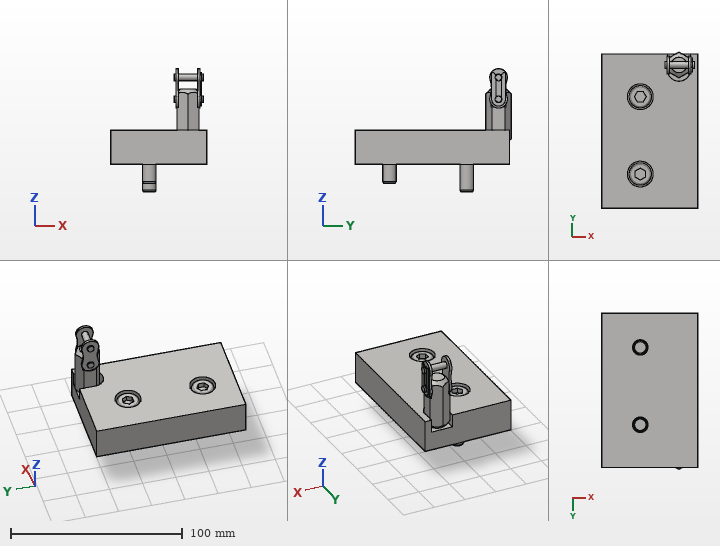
import cadquery as cq
import math

BLOCK_X = 56.0
BLOCK_Y = 90.0
BLOCK_Z = 20.0

SCREW_X = 22.5
SCREWS = [(20.0, 22.0, 90.0), (65.0, 27.0, 0.0)]
SHANK_D = 8.0
SHANK_TIP_D = 6.65
SHANK_TIP_LENGTH = 1.0
HEAD_D = 13.0
HEAD_H = 8.0
HEAD_EDGE_R = 0.8
SOCKET_FLATS = 6.0
SOCKET_DEPTH = 3.0
COUNTERBORE_D = 15.0
COUNTERBORE_DEPTH = 9.0
CLEARANCE_D = 9.0
SEAT_Z = BLOCK_Z - COUNTERBORE_DEPTH

POST_X = 45.0
POST_Y = 83.5
POST_FLATS = 13.0
POST_CORNERS = POST_FLATS / math.cos(math.pi / 6)
POST_LENGTH = 32.0
POST_END_D = 9.0
POST_END_CHAMFER = (POST_CORNERS - POST_END_D) / 2
SLOT_W = 13.5
SLOT_DEPTH = 8.0
SLOT_FRONT_Y = 74.0
SLOT_END_Y = SLOT_FRONT_Y + SLOT_W / 2
SLOT_FLOOR_Z = BLOCK_Z - SLOT_DEPTH

PITCH = 12.7
PLATE_R = 5.15
WAIST_HALF = 4.2
PLATE_T = 1.5
PLATE_INNER = 5.6
PLATE_OUTER = PLATE_INNER + PLATE_T
LINK_TOP_Z = 55.81
UPPER_PIN_Z = LINK_TOP_Z - PLATE_R
LOWER_PIN_Z = UPPER_PIN_Z - PITCH
PIN_D = 4.0
NECK_D = 3.2
PIN_LEFT = 8.1
PIN_RIGHT = 9.0
FLAT_BOTTOM_Z = 33.3

CLIP_T = 0.7
CLIP_R = 4.0
CLIP_TOP = 2.95
CLIP_TIP_R = 0.65


def yz_plane(x):
    """Sketch plane facing +X at x, centred on the lower pin: local x is Y, local y is Z."""
    return cq.Workplane("YZ", origin=(x, POST_Y, LOWER_PIN_Z))


def pin_bars(x, length, diameter=PIN_D):
    """Round bars on both pin axes, running from x toward +X."""
    return yz_plane(x).pushPoints([(0, 0), (0, PITCH)]).circle(diameter / 2).extrude(length)


def make_block():
    block = cq.Workplane("XY").box(BLOCK_X, BLOCK_Y, BLOCK_Z, centered=False)
    block = (
        block.faces(">Z").workplane(origin=(0, 0, BLOCK_Z))
        .pushPoints([(SCREW_X, y) for y, _, _ in SCREWS])
        .cboreHole(CLEARANCE_D, COUNTERBORE_D, COUNTERBORE_DEPTH)
    )
    slot = (
        cq.Workplane("XY", origin=(POST_X, 0, SLOT_FLOOR_Z))
        .moveTo(-SLOT_W / 2, BLOCK_Y)
        .lineTo(-SLOT_W / 2, SLOT_END_Y)
        .threePointArc((0, SLOT_FRONT_Y), (SLOT_W / 2, SLOT_END_Y))
        .lineTo(SLOT_W / 2, BLOCK_Y)
        .close().extrude(SLOT_DEPTH)
    )
    return block.cut(slot)


def make_screw(y, length, turn):
    """Turned profile from the tip up, with a hexagon socket in the head."""
    edge_shift = HEAD_EDGE_R * (1 - math.cos(math.pi / 4))
    screw = (
        cq.Workplane("XZ")
        .moveTo(0, -length)
        .lineTo(SHANK_TIP_D / 2, -length)
        .lineTo(SHANK_D / 2, -length + SHANK_TIP_LENGTH)
        .lineTo(SHANK_D / 2, 0)
        .lineTo(HEAD_D / 2, 0)
        .lineTo(HEAD_D / 2, HEAD_H - HEAD_EDGE_R)
        .threePointArc(
            (HEAD_D / 2 - edge_shift, HEAD_H - edge_shift), (HEAD_D / 2 - HEAD_EDGE_R, HEAD_H)
        )
        .lineTo(0, HEAD_H)
        .close().revolve(360, (0, 0), (0, 1))
    )
    socket_corners = SOCKET_FLATS / math.cos(math.pi / 6)
    socket = cq.Workplane("XY", origin=(0, 0, HEAD_H)).polygon(6, socket_corners).extrude(-SOCKET_DEPTH)
    return screw.cut(socket).rotate((0, 0, 0), (0, 0, 1), turn).translate((SCREW_X, y, SEAT_Z))


def plate_outline(x):
    """Link plate profile: round ends joined by concave arcs that are tangent to them."""
    waist_r = (WAIST_HALF**2 + (PITCH / 2) ** 2 - PLATE_R**2) / (2 * (PLATE_R - WAIST_HALF))
    share = PLATE_R / (PLATE_R + waist_r)
    tangent_y = (WAIST_HALF + waist_r) * share
    tangent_z = PITCH / 2 * share
    return (
        yz_plane(x)
        .moveTo(tangent_y, tangent_z)
        .threePointArc((WAIST_HALF, PITCH / 2), (tangent_y, PITCH - tangent_z))
        .threePointArc((0, PITCH + PLATE_R), (-tangent_y, PITCH - tangent_z))
        .threePointArc((-WAIST_HALF, PITCH / 2), (-tangent_y, tangent_z))
        .threePointArc((0, -PLATE_R), (tangent_y, tangent_z))
        .close()
    )


def make_pin_plate():
    """Left link plate with both pins fixed in it; each pin is necked where the clip sits."""
    plate = plate_outline(POST_X - PLATE_OUTER).extrude(PLATE_T)
    clip_x = POST_X + PLATE_OUTER
    bars = pin_bars(POST_X - PIN_LEFT, PIN_LEFT + PIN_RIGHT)
    grooves = pin_bars(clip_x, CLIP_T).cut(pin_bars(clip_x, CLIP_T, NECK_D))
    return plate.union(bars.cut(grooves))


def make_outer_plate():
    """Right link plate, pushed over the pins."""
    x = POST_X + PLATE_INNER
    return plate_outline(x).extrude(PLATE_T).cut(pin_bars(x, PLATE_T))


def make_clip():
    """U-shaped spring clip: two legs with rounded tips and a mouth flared at 45 degrees."""
    gap_half = NECK_D / 2
    tip_y = CLIP_R - CLIP_TIP_R
    tip_top_z = PITCH + CLIP_TOP
    tip_z = tip_top_z - CLIP_TIP_R
    flare_y = tip_y - CLIP_TIP_R * math.cos(math.pi / 4)
    flare_z = tip_z + CLIP_TIP_R * math.sin(math.pi / 4)
    throat_z = flare_z - (flare_y - gap_half)
    return (
        yz_plane(POST_X + PLATE_OUTER)
        .moveTo(-CLIP_R, 0)
        .threePointArc((0, -CLIP_R), (CLIP_R, 0))
        .lineTo(CLIP_R, tip_z)
        .threePointArc((tip_y, tip_top_z), (flare_y, flare_z))
        .lineTo(gap_half, throat_z)
        .lineTo(gap_half, 0)
        .threePointArc((0, -gap_half), (-gap_half, 0))
        .lineTo(-gap_half, throat_z)
        .lineTo(-flare_y, flare_z)
        .threePointArc((-tip_y, tip_top_z), (-CLIP_R, tip_z))
        .close().extrude(CLIP_T)
    )


def make_post():
    """Hexagonal post with coned ends, a cross hole for the lower pin and flats for the plates."""
    post = (
        cq.Workplane("XY", origin=(POST_X, POST_Y, SLOT_FLOOR_Z))
        .transformed(rotate=(0, 0, 90))
        .polygon(6, POST_CORNERS).extrude(POST_LENGTH)
    )
    cones = (
        cq.Workplane("XY", origin=(POST_X, POST_Y, SLOT_FLOOR_Z))
        .circle(POST_CORNERS / 2).extrude(POST_LENGTH)
        .faces("<Z or >Z").chamfer(POST_END_CHAMFER)
    )
    post = post.intersect(cones)
    post = post.cut(pin_bars(POST_X - PIN_LEFT, PIN_LEFT + PIN_RIGHT))
    post_top_z = SLOT_FLOOR_Z + POST_LENGTH
    for x in (POST_X - PLATE_OUTER, POST_X + PLATE_INNER):
        flat = cq.Workplane("XY", origin=(x, POST_Y - POST_CORNERS / 2, FLAT_BOTTOM_Z)).box(
            PLATE_T, POST_CORNERS, post_top_z - FLAT_BOTTOM_Z, centered=False
        )
        round_seat = yz_plane(x).circle(PLATE_R).extrude(PLATE_T)
        post = post.cut(flat).cut(round_seat)
    return post


block = make_block()
screws = [make_screw(y, length, turn) for y, length, turn in SCREWS]
post = make_post()
pin_plate = make_pin_plate()
outer_plate = make_outer_plate()
clip = make_clip()

result = cq.Compound.makeCompound([
    block.val(),
    *[screw.val() for screw in screws],
    post.val(),
    pin_plate.val(),
    outer_plate.val(),
    clip.val(),
])